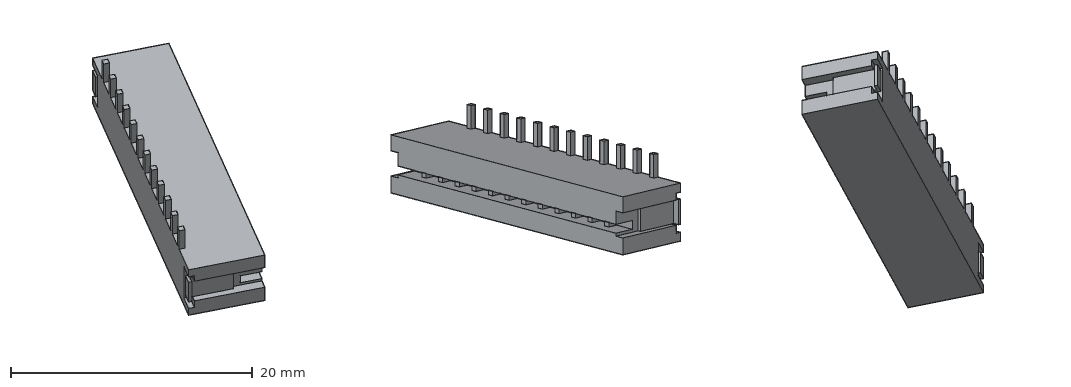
import cadquery as cq

length = 27.95
depth = 6.6
total_height = 7.0
pin_rise = 2.0
housing_height = total_height - pin_rise

pin_count = 12
pin_pitch = 2.0
pin_size = 0.5
pin_tip_y = 5.62
pin_top_z = 2.12

channel_bottom = 1.45
channel_top = 3.6
front_channel_depth = 0.55
back_channel_depth = 0.85
channel_step_y = 4.05

pocket_width = 1.37
pocket_depth = 0.5
pocket_bottom = 0.75
pocket_top = 4.2
tab_width = 0.87
tab_thickness = 0.28

slot_front_y = 4.72
slot_bottom = 1.7
slot_top = 2.45


def box(x_range, y_range, z_range):
    """Box between the given (low, high) limits on each axis."""
    sizes = [high - low for low, high in (x_range, y_range, z_range)]
    corner = (x_range[0], y_range[0], z_range[0])
    return cq.Workplane("XY").box(*sizes, centered=False).translate(corner)


left = -length / 2
channel_z = (channel_bottom, channel_top)


def left_end_cut():
    """Material removed at the left end: corner pocket around the tab, then the stepped channel."""
    pocket = box((left, left + pocket_width), (0, pocket_depth), (pocket_bottom, pocket_top))
    tab = box((left, left + tab_width), (0, tab_thickness), channel_z)
    wall = box(
        (left + front_channel_depth, left + tab_width), (tab_thickness, pocket_depth), channel_z
    )
    front_channel = box(
        (left, left + front_channel_depth), (tab_thickness, channel_step_y), channel_z
    )
    back_channel = box((left, left + back_channel_depth), (channel_step_y, depth), channel_z)
    return pocket.cut(tab).cut(wall).union(front_channel).union(back_channel)


def pin(x):
    """Upright tail above the housing and pin tip in the slot, centred on x."""
    width = (x - pin_size / 2, x + pin_size / 2)
    tail = box(width, (0, pin_size), (slot_bottom, total_height))
    tip = box(width, (0, pin_tip_y), (slot_bottom, pin_top_z))
    return tail.union(tip)


end_cut = left_end_cut()
slot = box((left, -left), (slot_front_y, depth), (slot_bottom, slot_top))

result = box((left, -left), (0, depth), (0, housing_height))
result = result.cut(end_cut).cut(end_cut.mirror("YZ")).cut(slot)
for index in range(pin_count):
    result = result.union(pin((index - (pin_count - 1) / 2) * pin_pitch))